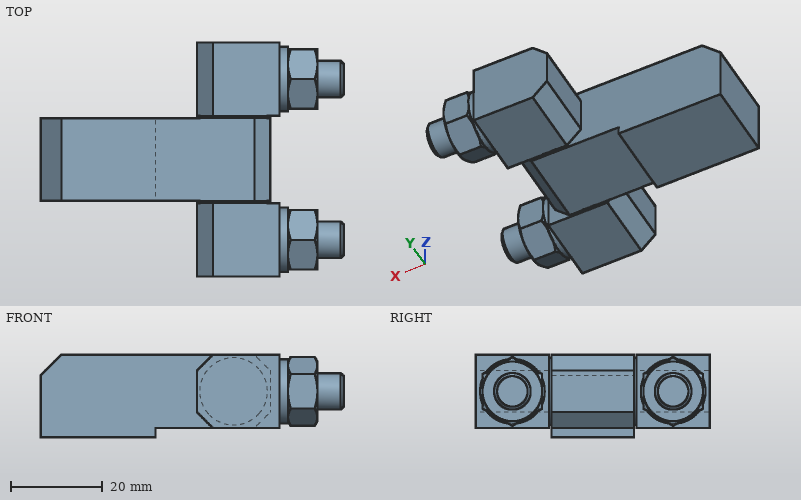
import cadquery as cq
import math

ARM_LENGTH = 50.0
ARM_WIDTH = 18.0
ARM_HEIGHT = 18.0
ARM_NOSE_CHAMFER = 4.5
FOOT_LENGTH = 25.0
KNUCKLE_SIZE = 16.0
KNUCKLE_CHAMFER = 3.5
BLOCK_LENGTH = 18.0
BLOCK_WIDTH = 16.0
HINGE_GAP = 0.5
SPACER_DIAMETER = 14.7

WASHER_DIAMETER = 14.1
WASHER_THICKNESS = 1.85
NUT_ACROSS_FLATS = 13.0
NUT_THICKNESS = 6.4
HEX_SIDES = 6
HALF_HEX_ANGLE = 180.0 / HEX_SIDES
CORNERS_UP_TURN = 90.0
NUT_CHAMFER_ANGLE = 30.0
NUT_FACE_DIAMETER = NUT_ACROSS_FLATS
STUD_DIAMETER = 8.0
STUD_TIP_DIAMETER = 6.65
STUD_END_X = 66.0

hinge_x = ARM_LENGTH - KNUCKLE_SIZE / 2
hinge_z = ARM_HEIGHT - KNUCKLE_SIZE / 2
block_front_x = hinge_x - KNUCKLE_SIZE / 2
block_back_x = block_front_x + BLOCK_LENGTH
knuckle_bottom_z = ARM_HEIGHT - KNUCKLE_SIZE
block_center_y = ARM_WIDTH / 2 + HINGE_GAP + BLOCK_WIDTH / 2


def cylinder_along_x(x_start, length, diameter, center_y):
    return (
        cq.Workplane("YZ", origin=(x_start, center_y, hinge_z))
        .circle(diameter / 2)
        .extrude(length)
    )


def make_arm():
    """Centre arm with a sloped nose, a foot below and a chamfered hinge end."""
    outline = [
        (0, 0),
        (FOOT_LENGTH, 0),
        (FOOT_LENGTH, knuckle_bottom_z),
        (ARM_LENGTH - KNUCKLE_CHAMFER, knuckle_bottom_z),
        (ARM_LENGTH, knuckle_bottom_z + KNUCKLE_CHAMFER),
        (ARM_LENGTH, ARM_HEIGHT - KNUCKLE_CHAMFER),
        (ARM_LENGTH - KNUCKLE_CHAMFER, ARM_HEIGHT),
        (ARM_NOSE_CHAMFER, ARM_HEIGHT),
        (0, ARM_HEIGHT - ARM_NOSE_CHAMFER),
    ]
    return cq.Workplane("XZ").polyline(outline).close().extrude(ARM_WIDTH / 2, both=True)


def make_block(center_y):
    """Side block, chamfered on the two edges of its -X face."""
    block = (
        cq.Workplane("XY")
        .box(BLOCK_LENGTH, BLOCK_WIDTH, KNUCKLE_SIZE, centered=(False, True, False))
        .translate((block_front_x, center_y, knuckle_bottom_z))
    )
    return block.faces("<X").edges("|Y").chamfer(KNUCKLE_CHAMFER)


def make_washer(center_y):
    """Round washer between a block and its nut."""
    return cylinder_along_x(block_back_x, WASHER_THICKNESS, WASHER_DIAMETER, center_y)


def make_spacers():
    """Hinge disc through the arm, filling the gap to the block on each side."""
    half_length = ARM_WIDTH / 2 + HINGE_GAP
    return (
        cq.Workplane("XZ", origin=(hinge_x, 0, hinge_z))
        .circle(SPACER_DIAMETER / 2)
        .extrude(half_length, both=True)
    )


def make_nut(center_y):
    """Hexagon nut with corners up and down, trimmed by a cone at both ends."""
    x_start = block_back_x + WASHER_THICKNESS
    corner_diameter = NUT_ACROSS_FLATS / math.cos(math.radians(HALF_HEX_ANGLE))
    corner_radius = corner_diameter / 2
    face_radius = NUT_FACE_DIAMETER / 2
    chamfer_length = (corner_radius - face_radius) * math.tan(math.radians(NUT_CHAMFER_ANGLE))
    hexagon = (
        cq.Workplane("YZ", origin=(x_start, center_y, hinge_z))
        .transformed(rotate=(0, 0, CORNERS_UP_TURN))
        .polygon(HEX_SIDES, corner_diameter)
        .extrude(NUT_THICKNESS)
    )
    envelope = (
        cq.Workplane("XY")
        .polyline([
            (0, 0),
            (0, face_radius),
            (chamfer_length, corner_radius),
            (NUT_THICKNESS - chamfer_length, corner_radius),
            (NUT_THICKNESS, face_radius),
            (NUT_THICKNESS, 0),
        ])
        .close()
        .revolve(360, (0, 0, 0), (1, 0, 0))
        .translate((x_start, center_y, hinge_z))
    )
    return hexagon.intersect(envelope)


def make_stud(center_y):
    """Plain round stud with a chamfered tip, standing out of the back of a block."""
    tip_chamfer = (STUD_DIAMETER - STUD_TIP_DIAMETER) / 2
    stud = cylinder_along_x(block_back_x, STUD_END_X - block_back_x, STUD_DIAMETER, center_y)
    return stud.faces(">X").chamfer(tip_chamfer)


result = make_arm().union(make_spacers())
for side in (-1, 1):
    y = side * block_center_y
    result = (
        result.union(make_block(y))
        .union(make_washer(y))
        .union(make_nut(y))
        .union(make_stud(y))
    )